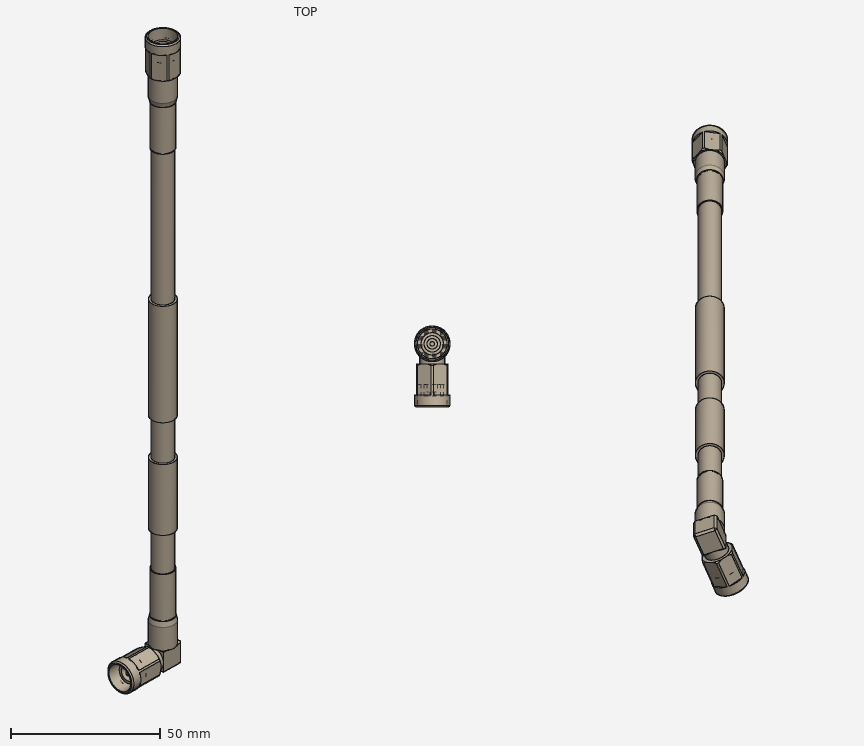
import cadquery as cq
import math

TOTAL_HEIGHT = 249.5

NUT_DIAMETER = 12.0
NUT_LENGTH = 14.5
NUT_FLAT_LENGTH = 10.5
NUT_FLAT_COUNT = 6
NUT_ACROSS_FLATS = 10.7
NUT_CHAMFER = 0.5
BORE_DIAMETER = 10.0
BORE_DEPTH = 7.5
MOUTH_CHAMFER = 0.5
INNER_TUBE_OUTER_DIAMETER = 7.5
INNER_TUBE_INNER_DIAMETER = 5.5
INNER_TUBE_HEIGHT = 3.7
INSULATOR_DIAMETER = 3.5
INSULATOR_HEIGHT = 2.5
CONTACT_DIAMETER = 1.5
CONTACT_HEIGHT = 3.7

CABLE_DIAMETER = 8.0
FERRULE_DIAMETER = 8.7
FERRULE_LENGTH = 18.5

BODY_DIAMETER = 10.0
SHOULDER_DIAMETER = 9.0
SHOULDER_LENGTH = 2.0
STRAIGHT_BODY_LENGTH = 11.0

ELBOW_AXIS_Z = NUT_DIAMETER / 2
ELBOW_REACH = 21.2
ELBOW_BLOCK_SIZE = 8.5
ELBOW_BLOCK_FRONT = 4.2
ELBOW_BLOCK_CHAMFER = 0.7
ELBOW_BODY_TOP = 21.5

SLEEVE_DIAMETER = 9.7
SLEEVE_SPANS = [(55.6, 28.0), (100.0, 46.0)]

STRAIGHT_NUT_BOTTOM = TOTAL_HEIGHT - NUT_LENGTH
STRAIGHT_BODY_BOTTOM = STRAIGHT_NUT_BOTTOM - STRAIGHT_BODY_LENGTH
ELBOW_BLOCK_TOP = ELBOW_AXIS_Z + ELBOW_BLOCK_SIZE / 2
CABLE_LENGTH = STRAIGHT_BODY_BOTTOM - ELBOW_BODY_TOP


def cylinder(diameter, bottom, height):
    """Upright cylinder centred on the Z axis."""
    return cq.Workplane("XY").workplane(offset=bottom).circle(diameter / 2).extrude(height)


def tube(outer_diameter, inner_diameter, bottom, height):
    """Upright tube centred on the Z axis."""
    outer = cylinder(outer_diameter, bottom, height)
    return outer.cut(cylinder(inner_diameter, bottom, height))


def make_nut():
    """Coupling nut standing on the origin with its mouth facing +Z."""
    across_corners = NUT_ACROSS_FLATS / math.cos(math.pi / NUT_FLAT_COUNT)
    hexagon = (
        cq.Workplane("XY")
        .polygon(NUT_FLAT_COUNT, across_corners)
        .extrude(NUT_FLAT_LENGTH)
        .rotate((0, 0, 0), (0, 0, 1), 180 / NUT_FLAT_COUNT)
    )
    grip = cylinder(NUT_DIAMETER, 0, NUT_FLAT_LENGTH).faces("<Z").chamfer(NUT_CHAMFER)
    grip = grip.intersect(hexagon)
    rim = cylinder(NUT_DIAMETER, NUT_FLAT_LENGTH, NUT_LENGTH - NUT_FLAT_LENGTH)
    rim = rim.faces(">Z").chamfer(MOUTH_CHAMFER)
    bore_floor = NUT_LENGTH - BORE_DEPTH
    nut = grip.union(rim).cut(cylinder(BORE_DIAMETER, bore_floor, BORE_DEPTH))
    inner_tube = tube(
        INNER_TUBE_OUTER_DIAMETER, INNER_TUBE_INNER_DIAMETER, bore_floor, INNER_TUBE_HEIGHT
    )
    contact = cylinder(CONTACT_DIAMETER, bore_floor, CONTACT_HEIGHT)
    insulator = cylinder(INSULATOR_DIAMETER, bore_floor, INSULATOR_HEIGHT)
    return nut.union(inner_tube).union(insulator).union(contact)


def make_shoulder_body(bottom, height):
    """Round connector body that tapers towards its top."""
    taper = (BODY_DIAMETER - SHOULDER_DIAMETER) / 2
    body = cylinder(BODY_DIAMETER, bottom, height)
    return body.faces(">Z").chamfer(SHOULDER_LENGTH, taper)


def make_straight_connector():
    nut = make_nut().translate((0, 0, STRAIGHT_NUT_BOTTOM))
    body = make_shoulder_body(0, STRAIGHT_BODY_LENGTH).rotate((0, 0, 0), (1, 0, 0), 180)
    body = body.translate((0, 0, STRAIGHT_NUT_BOTTOM))
    ferrule = tube(
        FERRULE_DIAMETER, CABLE_DIAMETER, STRAIGHT_BODY_BOTTOM - FERRULE_LENGTH, FERRULE_LENGTH
    )
    return nut.union(body).union(ferrule)


def make_elbow_connector():
    nut_back = ELBOW_REACH - NUT_LENGTH
    nut = make_nut().rotate((0, 0, 0), (1, 0, 0), 90).translate((0, -nut_back, ELBOW_AXIS_Z))
    neck = (
        cq.Workplane("XZ", origin=(0, 0, ELBOW_AXIS_Z))
        .circle(ELBOW_BLOCK_SIZE / 2)
        .extrude(nut_back)
    )
    block = (
        cq.Workplane("XZ", origin=(0, -ELBOW_BLOCK_FRONT, ELBOW_AXIS_Z))
        .rect(ELBOW_BLOCK_SIZE, ELBOW_BLOCK_SIZE)
        .extrude(-(ELBOW_BLOCK_FRONT + BODY_DIAMETER / 2))
        .edges("<Z or (|Z and >Y)")
        .chamfer(ELBOW_BLOCK_CHAMFER)
    )
    body = make_shoulder_body(ELBOW_BLOCK_TOP, ELBOW_BODY_TOP - ELBOW_BLOCK_TOP)
    ferrule = tube(FERRULE_DIAMETER, CABLE_DIAMETER, ELBOW_BODY_TOP, FERRULE_LENGTH)
    return block.union(neck).union(nut).union(body).union(ferrule)


def make_cable():
    return cylinder(CABLE_DIAMETER, ELBOW_BODY_TOP, CABLE_LENGTH)


def make_sleeve(bottom, length):
    return tube(SLEEVE_DIAMETER, CABLE_DIAMETER, bottom, length)


straight_connector = make_straight_connector()
elbow_connector = make_elbow_connector()
cable = make_cable()
sleeves = [make_sleeve(bottom, length) for bottom, length in SLEEVE_SPANS]

result = cq.Compound.makeCompound(
    [
        straight_connector.val(),
        elbow_connector.val(),
        cable.val(),
        *[sleeve.val() for sleeve in sleeves],
    ]
)